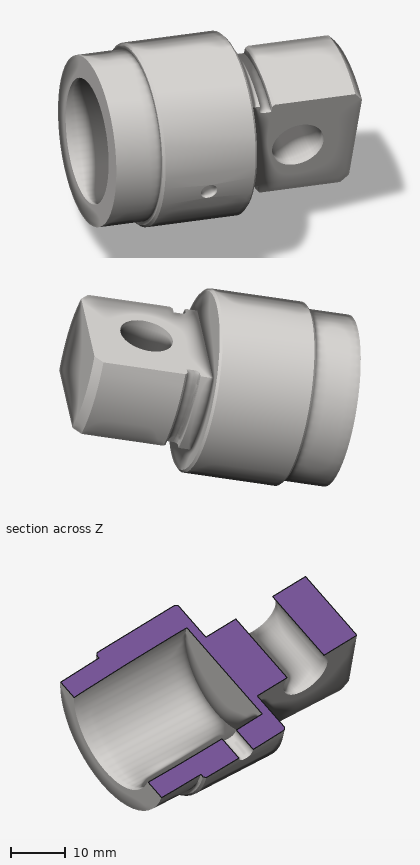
import cadquery as cq

TILT_ANGLE = 7.65

SPIGOT_DIAMETER = 31.75
COLLAR_DIAMETER = 34.04
COLLAR_START = 8.7
COLLAR_END = 27.05
COLLAR_CHAMFER = 0.45
BORE_DIAMETER = 23.37
BORE_DEPTH = 25.4

SIDE_HOLE_DIAMETER = 3.17
SIDE_HOLE_POSITION = 18.0

TAB_WIDTH = 16.0
TAB_HEIGHT = 25.1
TAB_END = 49.37
CROWN_RADIUS = 21.4
TAB_END_CHAMFER = 1.5
TAB_HOLE_DIAMETER = 9.92
TAB_HOLE_POSITION = 38.2

GROOVE_START = 29.4
GROOVE_END = 31.8
GROOVE_DEPTH = 1.6
GROOVE_FILLET = 0.75
GROOVE_CHAMFER = 0.45


def socket_body():
    """Spigot and chamfered collar, still solid."""
    spigot_radius = SPIGOT_DIAMETER / 2
    collar_radius = COLLAR_DIAMETER / 2
    return (
        cq.Workplane("XY")
        .moveTo(0, 0)
        .lineTo(spigot_radius, 0)
        .lineTo(spigot_radius, COLLAR_START)
        .lineTo(collar_radius - COLLAR_CHAMFER, COLLAR_START)
        .lineTo(collar_radius, COLLAR_START + COLLAR_CHAMFER)
        .lineTo(collar_radius, COLLAR_END - COLLAR_CHAMFER)
        .lineTo(collar_radius - COLLAR_CHAMFER, COLLAR_END)
        .lineTo(0, COLLAR_END)
        .close()
        .revolve(360, (0, 0, 0), (0, 1, 0))
    )


def crowned_half():
    """Upper half of the tab, its crowned profile revolved about an axis parallel to Y."""
    crown = TAB_HEIGHT / 2
    axis_height = crown - CROWN_RADIUS
    floor = crown - GROOVE_DEPTH
    profile = (
        cq.Workplane("YZ")
        .moveTo(BORE_DEPTH, axis_height)
        .lineTo(BORE_DEPTH, crown)
        .lineTo(GROOVE_START, crown)
        .lineTo(GROOVE_START, floor + GROOVE_FILLET)
        .radiusArc((GROOVE_START + GROOVE_FILLET, floor), -GROOVE_FILLET)
        .lineTo(GROOVE_END, floor)
        .lineTo(GROOVE_END, crown - GROOVE_CHAMFER)
        .lineTo(GROOVE_END + GROOVE_CHAMFER, crown)
        .lineTo(TAB_END - TAB_END_CHAMFER, crown)
        .lineTo(TAB_END, crown - TAB_END_CHAMFER)
        .lineTo(TAB_END, axis_height)
        .close()
    )
    crowned = profile.revolve(360, (0, axis_height, 0), (1, axis_height, 0))
    upper_box = cq.Workplane("XY").box(
        TAB_WIDTH, TAB_END, TAB_HEIGHT / 2, centered=(True, False, False)
    )
    return crowned.intersect(upper_box)


def tab():
    """Both crowned halves joined."""
    upper = crowned_half()
    return upper.union(upper.mirror("XY"))


def cylinder_along_x(diameter, position, start, length):
    """Cylinder parallel to X, centred on the part axis at the given Y position."""
    return (
        cq.Workplane("YZ", origin=(start, position, 0))
        .circle(diameter / 2)
        .extrude(length)
    )


def bore():
    """Blind round bore from the open end."""
    return cq.Workplane("XZ").circle(BORE_DIAMETER / 2).extrude(-BORE_DEPTH)


tab_hole = cylinder_along_x(TAB_HOLE_DIAMETER, TAB_HOLE_POSITION, -TAB_WIDTH / 2, TAB_WIDTH)
side_hole = cylinder_along_x(SIDE_HOLE_DIAMETER, SIDE_HOLE_POSITION, 0, COLLAR_DIAMETER / 2)

result = socket_body().union(tab()).cut(bore()).cut(tab_hole).cut(side_hole)
result = result.rotate((0, 0, 0), (1, 0, 0), -TILT_ANGLE)